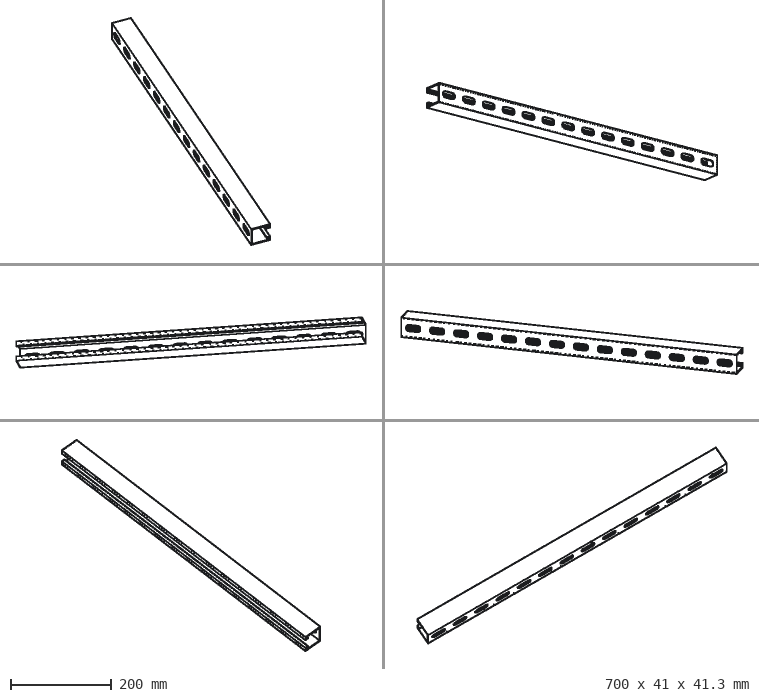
import cadquery as cq

LENGTH = 700.0
DEPTH = 41.0
HEIGHT = 41.3
WALL = 2.5

LIP_HEIGHT = 9.5
LIP_RETURN = 7.5

BEAD_DEPTH = 0.12
BEAD_WIDTH = 19.2
BEAD_FLOOR_WIDTH = 16.0

SLOT_PITCH = 50.0
SLOT_LENGTH = 30.0
SLOT_WIDTH = 13.5
SLOT_COUNT = int(LENGTH / SLOT_PITCH)

WEB_Y = -DEPTH / 2
OPEN_Y = DEPTH / 2
FLANGE_Z = HEIGHT / 2
LIP_Z = FLANGE_Z - LIP_HEIGHT


def bead(surface_z):
    """Points of the pressed bead in a flange surface, from -Y to +Y."""
    floor_z = surface_z - BEAD_DEPTH
    return [
        (-BEAD_WIDTH / 2, surface_z),
        (-BEAD_FLOOR_WIDTH / 2, floor_z),
        (BEAD_FLOOR_WIDTH / 2, floor_z),
        (BEAD_WIDTH / 2, surface_z),
    ]


def half_section():
    """Outline of the upper half of the C section, as (Y, Z) points."""
    inner_z = FLANGE_Z - WALL
    outer = [(WEB_Y, 0), (WEB_Y, FLANGE_Z)] + bead(FLANGE_Z) + [(OPEN_Y, FLANGE_Z)]
    lip = [
        (OPEN_Y, LIP_Z),
        (OPEN_Y - LIP_RETURN, LIP_Z),
        (OPEN_Y - LIP_RETURN, LIP_Z + WALL),
        (OPEN_Y - WALL, LIP_Z + WALL),
        (OPEN_Y - WALL, inner_z),
    ]
    inner = bead(inner_z)[::-1] + [(WEB_Y + WALL, inner_z), (WEB_Y + WALL, 0)]
    return outer + lip + inner


def channel():
    """Full-length channel, mirrored about its horizontal mid-plane."""
    upper = cq.Workplane("YZ").polyline(half_section()).close().extrude(LENGTH / 2, both=True)
    return upper.union(upper.mirror("XY")).clean()


def web_slots():
    """Row of round-ended slots through the web, one at the middle of each pitch."""
    return (
        cq.Workplane("XZ", origin=(0, WEB_Y + WALL, 0))
        .rarray(SLOT_PITCH, 1, SLOT_COUNT, 1)
        .slot2D(SLOT_LENGTH, SLOT_WIDTH)
        .extrude(WALL)
    )


result = channel().cut(web_slots())